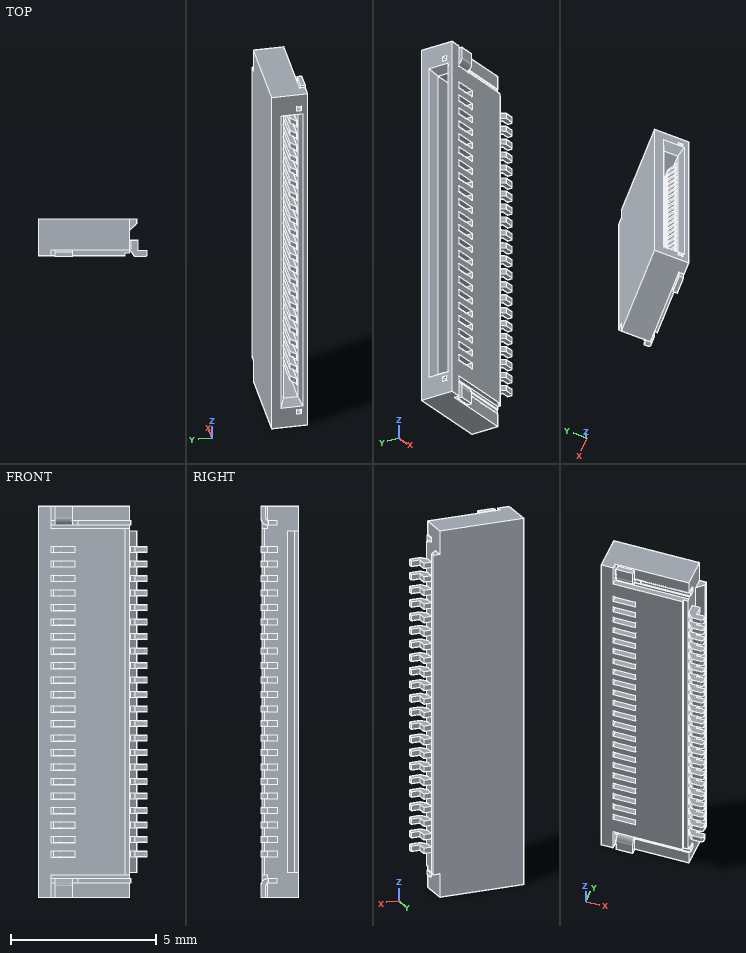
import cadquery as cq

LENGTH = 13.5
BODY_DEPTH = 3.15
FRONT_Y = 0.03
BACK_Y = 1.3
HALF_LENGTH = LENGTH / 2

STEP_WIDTH = 0.16
STEP_Y = 0.12

RECESS_X = 0.44
RECESS_LENGTH = 0.775
RECESS_Y = 0.226

TAB_THICKNESS = 0.165
TAB_INSET = 0.66
TAB_TAIL = 0.04
TAB_TAIL_Y = 0.55
TAB_BEND_RADIUS = 0.25
PLATE_Y = 0.25
PLATE_REAR_Y = 0.27
PLATE_STEP_X = 1.37
PAD_START_X = 0.565
PAD_END_X = 1.17
WINDOW_Y = 0.42
WINDOW_DEPTH = 0.3

MOUTH_INSET = 0.8
MOUTH_CHAMFER = 0.2
MOUTH_LEAD_IN = 0.317
MOUTH_FRONT_Y = 0.195
MOUTH_BACK_Y = 0.975
CAVITY_FRONT_Y = 0.315
CAVITY_DEPTH = 2.4
ENTRY_BACK_Y = 0.82
BACK_WALL_DRAFT = 0.01
END_LEAN_Y = 0.69
END_LEAN = 0.022

BAR_X = 3.4
BAR_INSET = 0.86
BAR_LIP_Y = 1.15
BAR_ROOT_Y = 0.91

CONTACT_COUNT = 22
PITCH = 0.5
CONTACT_WIDTH = 0.2
SLOT_WIDTH = 0.22
SLOT_END_X = 1.26
CONTACT_TIP_X = 0.52
CONTACT_FRONT_Y = 0.3
CONTACT_TOP_Y = 0.5
CONTACT_RAMP = 0.25
TAIL_END_X = 3.75
TAIL_OUTER_X = 3.44
TAIL_HIP_X = 3.18
TAIL_TOE_X = 3.34
TAIL_HEEL_X = 3.305
TAIL_HEEL_Y = 0.02
TAIL_HEEL_RADIUS = 0.08
TAIL_TOP_Y = 0.57
TAIL_HIP_Y = 0.19
TAIL_THICKNESS = 0.22
TAIL_TIP_RADIUS = 0.08


def box(x0, x1, y0, y1, z0, z1):
    """Axis-aligned block between the given limits."""
    return cq.Workplane("XY").box(x1 - x0, y1 - y0, z1 - z0, centered=False).translate((x0, y0, z0))


def centered_prism(profile, length):
    """Extrude an XY profile along Z, centred on Z = 0."""
    return profile.close().extrude(length / 2, both=True)


def make_mouth():
    """Tapered mouth opening and the cable cavity behind it."""
    outer_length = LENGTH - 2 * MOUTH_INSET
    inner_length = outer_length - 2 * MOUTH_CHAMFER
    outer_height = MOUTH_BACK_Y - MOUTH_FRONT_Y
    inner_height = ENTRY_BACK_Y - CAVITY_FRONT_Y
    outer_center = (MOUTH_BACK_Y + MOUTH_FRONT_Y) / 2
    inner_center = (ENTRY_BACK_Y + CAVITY_FRONT_Y) / 2
    lead_in = (
        cq.Workplane("YZ")
        .center(outer_center, 0)
        .rect(outer_height, outer_length)
        .workplane(offset=MOUTH_LEAD_IN)
        .center(inner_center - outer_center, 0)
        .rect(inner_height, inner_length)
        .loft(ruled=True)
    )
    cavity_profile = (
        cq.Workplane("XY")
        .moveTo(MOUTH_LEAD_IN, CAVITY_FRONT_Y)
        .lineTo(CAVITY_DEPTH, CAVITY_FRONT_Y)
        .lineTo(CAVITY_DEPTH, END_LEAN_Y)
        .lineTo(CAVITY_DEPTH + END_LEAN, ENTRY_BACK_Y - BACK_WALL_DRAFT)
        .lineTo(MOUTH_LEAD_IN, ENTRY_BACK_Y)
    )
    return lead_in.union(centered_prism(cavity_profile, inner_length))


def make_rear_bar():
    """Sloped bar along the upper rear edge."""
    profile = (
        cq.Workplane("XY")
        .moveTo(BODY_DEPTH, BACK_Y)
        .lineTo(BAR_X, BACK_Y)
        .lineTo(BAR_X, BAR_LIP_Y)
        .lineTo(BODY_DEPTH, BAR_ROOT_Y)
    )
    return centered_prism(profile, LENGTH - 2 * BAR_INSET)


def make_upper_end_cut():
    """Recess, stepped plate groove and plate window at the +Z end."""
    recess_z = HALF_LENGTH - RECESS_LENGTH
    plate_z0 = HALF_LENGTH - TAB_INSET
    plate_z1 = plate_z0 + TAB_THICKNESS
    recess = box(RECESS_X, BODY_DEPTH, 0, RECESS_Y, recess_z, HALF_LENGTH)
    front_groove = box(RECESS_X, PLATE_STEP_X, 0, PLATE_Y, plate_z0, plate_z1)
    rear_groove = box(PLATE_STEP_X, BODY_DEPTH, 0, PLATE_REAR_Y, plate_z0, plate_z1)
    window = box(0, WINDOW_DEPTH, PLATE_Y, WINDOW_Y, plate_z0, plate_z1)
    return recess.union(front_groove).union(rear_groove).union(window)


def make_upper_tab():
    """Plate tail and the bent solder pad at the +Z end."""
    plate_z0 = HALF_LENGTH - TAB_INSET
    plate_z1 = plate_z0 + TAB_THICKNESS
    tail = box(PLATE_STEP_X, BODY_DEPTH + TAB_TAIL, PLATE_REAR_Y, TAB_TAIL_Y, plate_z0, plate_z1)
    bend_z = plate_z0 + TAB_BEND_RADIUS
    inner_radius = TAB_BEND_RADIUS - TAB_THICKNESS
    pad = (
        cq.Workplane("YZ", origin=(PAD_START_X, 0, 0))
        .moveTo(0, HALF_LENGTH)
        .lineTo(0, bend_z)
        .radiusArc((TAB_BEND_RADIUS, plate_z0), -TAB_BEND_RADIUS)
        .lineTo(WINDOW_Y, plate_z0)
        .lineTo(WINDOW_Y, plate_z1)
        .lineTo(TAB_BEND_RADIUS, plate_z1)
        .radiusArc((TAB_THICKNESS, bend_z), inner_radius)
        .lineTo(TAB_THICKNESS, HALF_LENGTH)
        .close()
        .extrude(PAD_END_X - PAD_START_X)
    )
    return tail.union(pad)


def make_contact():
    """Spring end in the cavity and gull-wing tail behind the housing."""
    spring_profile = (
        cq.Workplane("XY")
        .moveTo(CONTACT_TIP_X, CONTACT_FRONT_Y)
        .lineTo(SLOT_END_X, CONTACT_FRONT_Y)
        .lineTo(CAVITY_DEPTH, CAVITY_FRONT_Y)
        .lineTo(CAVITY_DEPTH, CONTACT_TOP_Y)
        .lineTo(CONTACT_TIP_X + CONTACT_RAMP, CONTACT_TOP_Y)
        .lineTo(CONTACT_TIP_X, CAVITY_FRONT_Y)
    )
    tail_profile = (
        cq.Workplane("XY")
        .moveTo(BODY_DEPTH, TAIL_TOP_Y)
        .lineTo(TAIL_OUTER_X, TAIL_TOP_Y)
        .lineTo(TAIL_OUTER_X, TAIL_THICKNESS)
        .lineTo(TAIL_END_X, TAIL_THICKNESS)
        .lineTo(TAIL_END_X, TAIL_TIP_RADIUS)
        .radiusArc((TAIL_END_X - TAIL_TIP_RADIUS, 0), TAIL_TIP_RADIUS)
        .lineTo(TAIL_TOE_X, 0)
        .radiusArc((TAIL_HEEL_X, TAIL_HEEL_Y), TAIL_HEEL_RADIUS)
        .lineTo(TAIL_HIP_X, TAIL_HIP_Y)
        .lineTo(BODY_DEPTH, TAIL_HIP_Y)
    )
    spring = centered_prism(spring_profile, CONTACT_WIDTH)
    return spring.union(centered_prism(tail_profile, CONTACT_WIDTH))


def make_slot():
    """Opening from the mounting face into the cavity at one contact."""
    half_width = SLOT_WIDTH / 2
    return box(RECESS_X, SLOT_END_X, 0, CAVITY_FRONT_Y, -half_width, half_width)


def repeat_at_contacts(shape):
    """Copies of the shape at every contact position."""
    first_z = -(CONTACT_COUNT - 1) * PITCH / 2
    heights = [first_z + i * PITCH for i in range(CONTACT_COUNT)]
    return [shape.translate((0, 0, height)).val() for height in heights]


body = box(0, BODY_DEPTH, FRONT_Y, BACK_Y, -HALF_LENGTH, HALF_LENGTH)
rear_step = box(BODY_DEPTH - STEP_WIDTH, BODY_DEPTH, FRONT_Y, STEP_Y, -HALF_LENGTH, HALF_LENGTH)
end_cut = make_upper_end_cut()
tab = make_upper_tab()
body = body.cut(make_mouth()).cut(rear_step)
body = body.cut(end_cut).cut(end_cut.mirror("XY")).union(make_rear_bar())
body = body.union(tab).union(tab.mirror("XY"))
solid = body.val().cut(*repeat_at_contacts(make_slot()))
solid = solid.fuse(*repeat_at_contacts(make_contact()))
result = cq.Workplane(solid.Solids()[0])